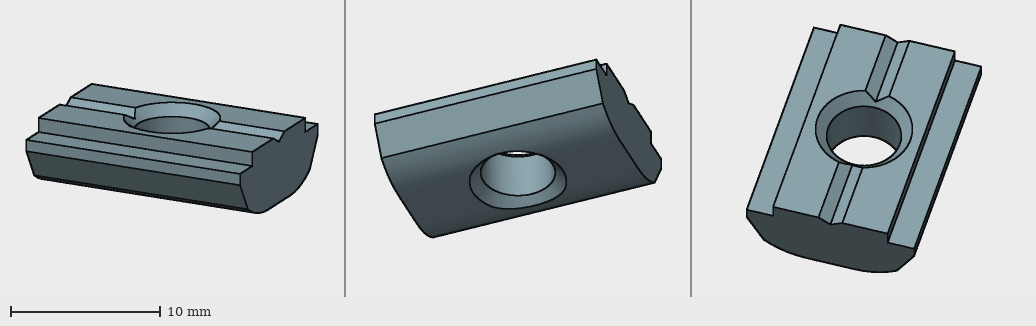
import cadquery as cq
import math

length = 16.0
width = 11.7
height = 4.8
tongue_width = 8.0
tongue_height = 1.0
side_wall_height = 0.8
flank_angle = 60.0
flank_drop = 2.06
belly_radius = 5.12
groove_width = 1.66
groove_angle = 30.0
hole_diameter = 5.0
countersink_diameter = 6.5
countersink_depth = (countersink_diameter - hole_diameter) / 2

half_width = width / 2
half_tongue = tongue_width / 2
shoulder_z = height - tongue_height
flank_top_z = shoulder_z - side_wall_height
flank_bottom_z = flank_top_z - flank_drop
flank_bottom_y = half_width - flank_drop / math.tan(math.radians(flank_angle))
belly_sweep = math.acos(1 - flank_bottom_z / belly_radius)
half_flat = flank_bottom_y - belly_radius * math.sin(belly_sweep)
belly_mid_y = half_flat + belly_radius * math.sin(belly_sweep / 2)
belly_mid_z = belly_radius * (1 - math.cos(belly_sweep / 2))
groove_depth = groove_width / 2 * math.tan(math.radians(groove_angle))


def make_body():
    """Extrude the symmetric nut section, V-groove included, along X."""
    return (
        cq.Workplane("YZ")
        .moveTo(-half_flat, 0)
        .lineTo(half_flat, 0)
        .threePointArc((belly_mid_y, belly_mid_z), (flank_bottom_y, flank_bottom_z))
        .lineTo(half_width, flank_top_z)
        .lineTo(half_width, shoulder_z)
        .lineTo(half_tongue, shoulder_z)
        .lineTo(half_tongue, height)
        .lineTo(groove_width / 2, height)
        .lineTo(0, height - groove_depth)
        .lineTo(-groove_width / 2, height)
        .lineTo(-half_tongue, height)
        .lineTo(-half_tongue, shoulder_z)
        .lineTo(-half_width, shoulder_z)
        .lineTo(-half_width, flank_top_z)
        .lineTo(-flank_bottom_y, flank_bottom_z)
        .threePointArc((-belly_mid_y, belly_mid_z), (-half_flat, 0))
        .close()
        .extrude(length / 2, both=True)
    )


def make_hole():
    """Through hole with a countersink at both ends, revolved about Z."""
    hole_radius = hole_diameter / 2
    countersink_radius = countersink_diameter / 2
    return (
        cq.Workplane("XZ")
        .moveTo(0, 0)
        .lineTo(countersink_radius, 0)
        .lineTo(hole_radius, countersink_depth)
        .lineTo(hole_radius, height - countersink_depth)
        .lineTo(countersink_radius, height)
        .lineTo(0, height)
        .close()
        .revolve(360, (0, 0, 0), (0, 1, 0))
    )


result = make_body().cut(make_hole())